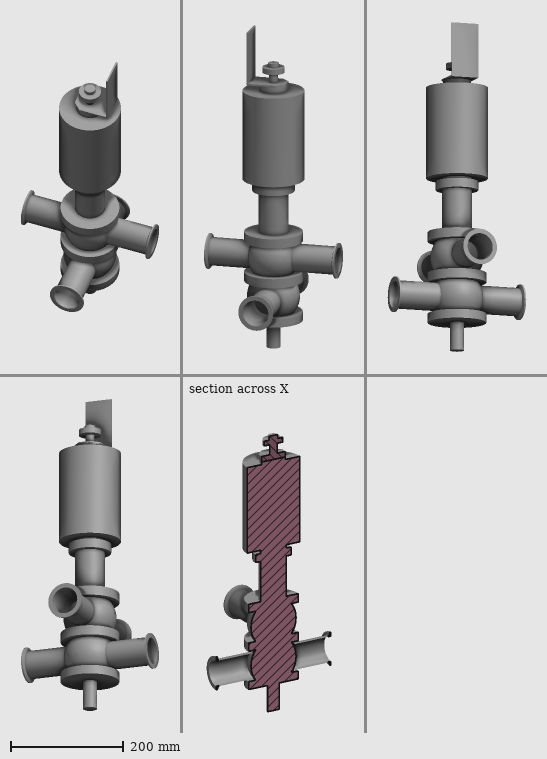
import cadquery as cq
import math


port_reach = 120.0
total_height = 586.7

drain_rod_top = 50.3
bottom_flange_height = 16.0
flange_height = 17.0
chamber_height = 57.0
stem_top = 312.0
collar_bottom = 290.5
collar_height = 16.0
actuator_height = 164.5
neck_height = 5.0

drain_rod_diameter = 25.0
flange_diameter = 105.0
stem_diameter = 54.0
collar_diameter = 76.0
actuator_diameter = 110.8
neck_diameter = 50.0

chamber_diameter = 95.0

tube_diameter = 50.8
tube_bore = 47.8
ferrule_diameter = 64.0
ferrule_rim = 2.85
ferrule_back_angle = 20.0

head_disc_height = 7.5
bracket_thickness = 3.0
bracket_width = neck_diameter
bracket_reach = 43.0
bracket_corner = 14.0
shaft_diameter = 16.0
shaft_length = 18.0
knob_diameter = 40.0
knob_height = 10.0
cap_diameter = 19.5
cap_height = 7.5

lower_chamber_bottom = drain_rod_top + bottom_flange_height
middle_flange_bottom = lower_chamber_bottom + chamber_height
upper_chamber_bottom = middle_flange_bottom + flange_height
upper_flange_bottom = upper_chamber_bottom + chamber_height
stem_bottom = upper_flange_bottom + flange_height
neck_bottom = stem_top + actuator_height
head_bottom = neck_bottom + neck_height
bracket_bottom = head_bottom + head_disc_height
bracket_top = bracket_bottom + bracket_thickness


def disc(diameter, bottom, height):
    """Upright cylinder on the valve axis."""
    return cq.Workplane("XY").workplane(offset=bottom).circle(diameter / 2).extrude(height)


def port():
    """Tube with a clamp ferrule along +X, open down to the chamber's spherical wall."""
    tube_start = tube_bore / 2
    tube_radius = tube_diameter / 2
    ferrule_radius = ferrule_diameter / 2
    rim_start = port_reach - ferrule_rim
    taper = (ferrule_radius - tube_radius) * math.tan(math.radians(ferrule_back_angle))
    profile = [
        (tube_start, tube_bore / 2),
        (tube_start, tube_radius),
        (rim_start - taper, tube_radius),
        (rim_start, ferrule_radius),
        (port_reach, ferrule_radius),
        (port_reach, tube_bore / 2),
    ]
    return cq.Workplane("XZ").polyline(profile).close().revolve(360, (0, 0, 0), (1, 0, 0))


def chamber(bottom, turn):
    """Sphere cut flat at both ends, with two opposite ports, turned about the valve axis."""
    slab = disc(flange_diameter, -chamber_height / 2, chamber_height)
    sphere = cq.Workplane("YZ").sphere(chamber_diameter / 2)
    body = sphere.intersect(slab)
    for port_angle in (0, 180):
        body = body.union(port().rotate((0, 0, 0), (0, 0, 1), port_angle))
    return body.rotate((0, 0, 0), (0, 0, 1), turn).translate((0, 0, bottom + chamber_height / 2))


def make_valve():
    """Drain rod, flanges, chambers, ports, stem, collar, actuator and neck in one piece."""
    valve = disc(drain_rod_diameter, 0, drain_rod_top)
    sections = [
        disc(flange_diameter, drain_rod_top, bottom_flange_height),
        disc(flange_diameter, middle_flange_bottom, flange_height),
        disc(flange_diameter, upper_flange_bottom, flange_height),
        disc(stem_diameter, stem_bottom, stem_top - stem_bottom),
        disc(collar_diameter, collar_bottom, collar_height),
        disc(actuator_diameter, stem_top, actuator_height),
        disc(neck_diameter, neck_bottom, neck_height),
        chamber(lower_chamber_bottom, 90),
        chamber(upper_chamber_bottom, 0),
    ]
    for section in sections:
        valve = valve.union(section)
    return valve


def make_bracket():
    """Flat plate with two cut corners, bent up into a tall leg on the +X side."""
    plate_length = bracket_reach + bracket_width / 2
    plate = (
        cq.Workplane("XY")
        .box(plate_length, bracket_width, bracket_thickness, centered=(False, True, False))
        .edges("|Z and <X")
        .chamfer(bracket_corner)
        .translate((-bracket_width / 2, 0, bracket_bottom))
    )
    leg = (
        cq.Workplane("XY")
        .box(bracket_thickness, bracket_width, total_height - bracket_bottom, centered=(False, True, False))
        .translate((bracket_reach - bracket_thickness, 0, bracket_bottom))
    )
    return plate.union(leg)


def make_indicator_head():
    """Disc on the neck, carrying the angle bracket and the shaft with its knob and cap."""
    knob_bottom = bracket_top + shaft_length
    knob_top = knob_bottom + knob_height
    return (
        disc(neck_diameter, head_bottom, head_disc_height)
        .union(make_bracket())
        .union(disc(shaft_diameter, bracket_top, shaft_length))
        .union(disc(knob_diameter, knob_bottom, knob_height))
        .union(disc(cap_diameter, knob_top, cap_height))
    )


valve = make_valve()
indicator_head = make_indicator_head()

result = cq.Compound.makeCompound([valve.solids().val(), indicator_head.solids().val()])